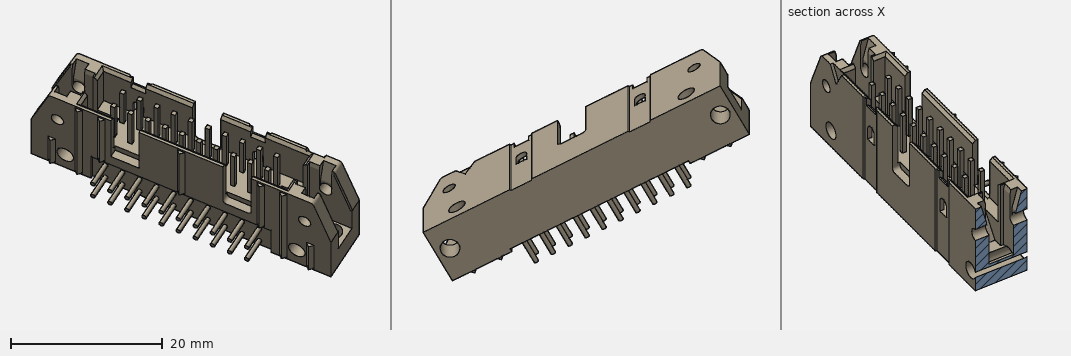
import cadquery as cq
import math


length = 44.7
depth = 8.1
height = 13.95
shoulder_z = 7.35
shoulder_inset = 2.7
shoulder_radius = 0.63
mid_y = depth / 2

cavity_length = 30.65
wall = 0.85
floor_z = 7.3
lead_in = 0.45

slot_width = 4.2
slot_depth = 1.2
slot_bottom = 6.35
slot_radius = 0.55
front_slot_x = 8.35

columns = 10
pitch = 2.55
pin_size = 0.63
pin_top = 13.55
leg_diameter = 0.65
leg_reach = 3.2
lower_leg_z = 0.95

leg_recess_length = 26.8
leg_recess_height = 4.6
leg_recess_depth = 0.45

bay_width = 3.8
bay_floor = 3.65
bay_inner_x = 16.0
bay_chamfer_width = 0.2
bay_chamfer_depth = 0.7
slope_chamfer_depth = 0.2
passage_width = 2.8
ramp_bottom_x = 14.6
ramp_top_x = 12.1

pivot_x = 18.4
pivot_z = 9.5
pivot_diameter = 1.85
groove_bottom_depth = 0.35
groove_top_depth = 1.2
groove_taper_z = 10.8
cross_hole_x = 17.25
cross_hole_z = 2.73
cross_hole_diameter = 2.45
mount_hole_x = 20.35
mount_hole_y = 4.35
mount_hole_diameter = 2.6

relief_center_x = -1.25
relief_offset = 7 * pitch / 2
relief_xs = (relief_center_x - relief_offset, relief_center_x + relief_offset)
relief_groove_width = 3.4
relief_groove_depth = 0.2
relief_notch_width = 2.15
relief_notch_bottom = 12.8
relief_notch_chamfer = 0.35
window_width = 1.6
window_top = 9.85

mark_x = 16.0
mark_width = 2.8
mark_depth = 0.45

rib_width = 1.1
rib_reach = 0.55
rib_end_gap = 0.3
middle_rib_bottom = 4.85
short_rib_top = 5.25
short_rib_x = 19.25
long_rib_x = 15.25
side_rib_x = 11.9

overcut = 0.45


def box(x0, x1, y0, y1, z0, z1):
    return cq.Workplane("XY").box(x1 - x0, y1 - y0, z1 - z0, centered=False).translate((x0, y0, z0))


def prism_along_y(points, y0, y1):
    """Extrude an (x, z) outline from y0 to y1."""
    return cq.Workplane("XZ", origin=(0, y0, 0)).polyline(points).close().extrude(y0 - y1)


def prism_along_x(points, x0, x1):
    """Extrude a (y, z) outline from x0 to x1."""
    return cq.Workplane("YZ", origin=(x0, 0, 0)).polyline(points).close().extrude(x1 - x0)


def hole_along_y(x, z, diameter, y0, y1):
    return cq.Workplane("XZ", origin=(x, y0, z)).circle(diameter / 2).extrude(y0 - y1)


def both_ends(left):
    return left.union(left.mirror("YZ"))


def both_sides(front):
    return front.union(front.mirror("XZ", (0, mid_y, 0)))


def make_blank():
    """Long block with sloped shoulders."""
    half = length / 2
    top_half = half - shoulder_inset
    outline = [(-half, 0), (half, 0), (half, shoulder_z), (top_half, height),
               (-top_half, height), (-half, shoulder_z)]
    blank = prism_along_y(outline, 0, depth)
    top_corners = cq.selectors.BoxSelector(
        (-top_half - lead_in, -overcut, height - lead_in),
        (top_half + lead_in, depth + overcut, height + lead_in),
    )
    return blank.edges("|Y").edges(top_corners).fillet(shoulder_radius)


def make_cavity():
    """Mating cavity with a chamfered mouth."""
    width = depth - 2 * wall
    center = (0, mid_y)
    cavity = (
        cq.Workplane("XY", origin=(*center, floor_z))
        .rect(cavity_length, width)
        .extrude(height + overcut - floor_z)
    )
    mouth = (
        cq.Workplane("XY", origin=(*center, height - lead_in))
        .rect(cavity_length, width)
        .workplane(offset=lead_in)
        .rect(cavity_length + 2 * lead_in, width + 2 * lead_in)
        .loft()
    )
    return cavity.union(mouth)


def make_slot(x, y0, rounded):
    """Polarising slot, open at the top; its bottom corners may be rounded."""
    half = slot_width / 2
    slot = box(x - half, x + half, y0, y0 + slot_depth, slot_bottom, height + overcut)
    if rounded:
        slot = slot.edges("|Y and <Z").fillet(slot_radius)
    return slot


def bay_chamfer_profile(chamfer_depth):
    """Cut profile (y, z) for the inner top edge of the front ear wall."""
    face_y = mid_y - bay_width / 2
    return [(face_y, height - chamfer_depth), (face_y - bay_chamfer_width, height),
            (face_y + overcut, height), (face_y + overcut, height - chamfer_depth)]


def make_bay_chamfer():
    """Chamfer on the front inner edge of the left ear, along its top and its slope."""
    corner_x = -length / 2 + shoulder_inset
    slope_rise = height - shoulder_z
    slope_length = math.hypot(shoulder_inset, slope_rise)
    slope_angle = math.degrees(math.atan2(slope_rise, shoulder_inset))
    along_top = prism_along_x(bay_chamfer_profile(bay_chamfer_depth), corner_x, -bay_inner_x)
    slope_profile = bay_chamfer_profile(slope_chamfer_depth)
    along_slope = prism_along_x(slope_profile, corner_x - slope_length, corner_x).rotate(
        (corner_x, 0, height), (corner_x, 1, height), -slope_angle
    )
    return along_top.union(along_slope)


def make_pivot_groove():
    """Groove above the pivot hole in the front inner face of the left ear."""
    face_y = mid_y - bay_width / 2
    half = pivot_diameter / 2
    profile = [(face_y + overcut, pivot_z), (face_y - groove_bottom_depth, pivot_z),
               (face_y - groove_bottom_depth, groove_taper_z),
               (face_y - groove_top_depth, height), (face_y + overcut, height)]
    return prism_along_x(profile, -pivot_x - half, -pivot_x + half)


def make_left_bay():
    """Latch bay, its passage into the cavity, its ramp and the ear holes."""
    half = bay_width / 2
    half_passage = passage_width / 2
    top = height + overcut
    bay = box(-length / 2 - overcut, -bay_inner_x, mid_y - half, mid_y + half, bay_floor, top)
    passage = prism_along_y(
        [(-bay_inner_x, bay_floor), (-ramp_bottom_x, bay_floor), (-ramp_top_x, floor_z),
         (-ramp_top_x, top), (-bay_inner_x, top)],
        mid_y - half_passage, mid_y + half_passage,
    )
    mount_hole = (
        cq.Workplane("XY", origin=(-mount_hole_x, mount_hole_y, 0))
        .circle(mount_hole_diameter / 2)
        .extrude(bay_floor + overcut)
    )
    pivot_hole = hole_along_y(-pivot_x, pivot_z, pivot_diameter, 0, depth)
    cross_hole = hole_along_y(-cross_hole_x, cross_hole_z, cross_hole_diameter, 0, depth)
    grooves = both_sides(make_pivot_groove())
    chamfers = both_sides(make_bay_chamfer())
    cut = bay
    for feature in (passage, mount_hole, pivot_hole, cross_hole, grooves, chamfers):
        cut = cut.union(feature)
    return cut


def make_relief(x):
    """Outer groove, top notch and arched window in the back wall."""
    inner_y = depth - wall
    half_groove = relief_groove_width / 2
    half_notch = relief_notch_width / 2
    half_window = window_width / 2
    arch_z = window_top - half_window
    groove = (
        cq.Workplane("XY")
        .polyline([(x - half_groove, depth), (x + half_groove, depth),
                   (x + half_groove - relief_groove_depth, depth - relief_groove_depth),
                   (x - half_groove + relief_groove_depth, depth - relief_groove_depth)])
        .close()
        .extrude(height)
    )
    notch = prism_along_x(
        [(inner_y, relief_notch_bottom - relief_notch_chamfer), (inner_y + lead_in, relief_notch_bottom),
         (depth, relief_notch_bottom), (depth, height), (inner_y, height)],
        x - half_notch, x + half_notch,
    )
    window = box(x - half_window, x + half_window, inner_y, depth, floor_z, arch_z)
    arch = hole_along_y(x, arch_z, window_width, inner_y, depth)
    return groove.union(notch).union(window).union(arch)


def make_pin_one_mark():
    """Equilateral triangle pointing down from the top edge of the back face."""
    half = mark_width / 2
    tip_z = height - half * math.sqrt(3)
    return prism_along_y(
        [(mark_x - half, height), (mark_x + half, height), (mark_x, tip_z)],
        depth - mark_depth, depth,
    )


def make_rib(x, z0, z1):
    """Triangular crush rib on the leg side."""
    half = rib_width / 2
    return (
        cq.Workplane("XY", origin=(x, 0, z0))
        .polyline([(-half, 0), (0, -rib_reach), (half, 0)])
        .close()
        .extrude(z1 - z0)
    )


def make_contact(x, row):
    """Square pin in the cavity and its round leg; row is -1 or 1."""
    pin_y = mid_y + row * pitch / 2
    leg_z = lower_leg_z + (row + 1) / 2 * pitch
    pin = (
        cq.Workplane("XY", origin=(x, pin_y, leg_z))
        .rect(pin_size, pin_size)
        .extrude(pin_top - leg_z)
    )
    leg = hole_along_y(x, leg_z, leg_diameter, -leg_reach, pin_y)
    return pin.union(leg)


body = make_blank()
body = body.cut(make_cavity())
body = body.cut(make_slot(-front_slot_x, 0, rounded=False))
body = body.cut(make_slot(front_slot_x, 0, rounded=True))
body = body.cut(make_slot(0, depth - slot_depth, rounded=True))
body = body.cut(both_ends(make_left_bay()))
for relief_x in relief_xs:
    body = body.cut(make_relief(relief_x))
body = body.cut(make_pin_one_mark())
body = body.cut(
    box(-leg_recess_length / 2, leg_recess_length / 2, 0, leg_recess_depth, 0, leg_recess_height)
)

rib_top = height - rib_end_gap
for side in (-1, 1):
    body = body.union(make_rib(side * short_rib_x, rib_end_gap, short_rib_top))
    body = body.union(make_rib(side * long_rib_x, rib_end_gap, rib_top))
    body = body.union(make_rib(side * side_rib_x, middle_rib_bottom, rib_top))
body = body.union(make_rib(0, middle_rib_bottom, rib_top))

for column in range(columns):
    column_x = (column - (columns - 1) / 2) * pitch
    for contact_row in (-1, 1):
        body = body.union(make_contact(column_x, contact_row))

result = body